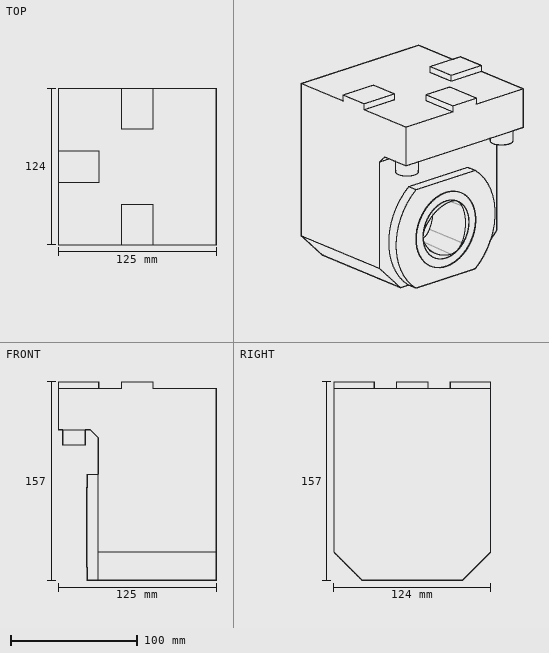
import cadquery as cq
import math

length = 125.0
width = 124.0
total_height = 157.0
key_height = 5.0
block_top = total_height - key_height
body_face_x = 31.5
head_bottom_z = 119.0
head_chamfer = 6.1
base_chamfer = 22.3

key_width = 25.1
key_length = 32.0

pin_diameter = 18.0
pin_length = 12.0
pin_x = 12.4
pin_spacing = 100.0

axis_z = 41.9
plate_diameter = 104.5
plate_thickness = 8.8
collar_diameter = 63.0
collar_height = 0.6
recess_diameter = 48.5
recess_depth = 0.3
socket_depth = 38.0
socket_radius = 22.5
socket_lobe = 1.7
socket_sectors = 6
sector_steps = 8
taper_per_length = 1 / 40

plate_face_x = body_face_x - plate_thickness
collar_face_x = plate_face_x - collar_height
overlap = 1.5


def make_block():
    """Side profile with an overhanging head and chamfered lower long edges."""
    block = (
        cq.Workplane("XZ")
        .moveTo(0, block_top)
        .lineTo(length, block_top)
        .lineTo(length, 0)
        .lineTo(body_face_x, 0)
        .lineTo(body_face_x, head_bottom_z - head_chamfer)
        .lineTo(body_face_x - head_chamfer, head_bottom_z)
        .lineTo(0, head_bottom_z)
        .close()
        .extrude(width / 2, both=True)
    )
    return block.faces("<Z").edges("|X").chamfer(base_chamfer)


def make_key(x, y, size_x, size_y):
    return (
        cq.Workplane("XY", origin=(x, y, block_top - overlap))
        .rect(size_x, size_y)
        .extrude(key_height + overlap)
    )


def make_pin(y):
    return (
        cq.Workplane("XY", origin=(pin_x, y, head_bottom_z - pin_length))
        .circle(pin_diameter / 2)
        .extrude(pin_length + overlap)
    )


def axis_plane(x):
    """Plane across the spindle axis: local x is +Y, local y is +Z, normal +X."""
    return cq.Workplane("YZ", origin=(x, 0, axis_z))


def make_plate():
    """Disc cut flat at the base and at the same distance above the axis."""
    disc = axis_plane(plate_face_x).circle(plate_diameter / 2).extrude(plate_thickness + overlap)
    flats = axis_plane(plate_face_x).rect(plate_diameter, 2 * axis_z).extrude(plate_thickness + overlap)
    return disc.intersect(flats)


def socket_point(radius, angle):
    """Point on the three-lobed polygon curve, with one lobe toward +Y."""
    y = radius * math.cos(angle) + socket_lobe * (2 * math.cos(2 * angle) - math.cos(4 * angle))
    z = radius * math.sin(angle) - socket_lobe * (2 * math.sin(2 * angle) + math.sin(4 * angle))
    return (y, z)


def socket_outline(depth):
    """Closed polygon curve at a depth below the collar face, alternating lobes and flanks."""
    radius = socket_radius - depth * taper_per_length
    sector = 2 * math.pi / socket_sectors
    edges = []
    for index in range(socket_sectors):
        start = (index - 0.5) * sector
        angles = [start + sector * step / sector_steps for step in range(sector_steps + 1)]
        points = [socket_point(radius, angle) for angle in angles]
        edges += axis_plane(collar_face_x + depth).spline(points).vals()
    return cq.Wire.assembleEdges(edges)


def make_socket():
    """Tapered polygon socket with ruled walls."""
    outlines = [socket_outline(0), socket_outline(socket_depth)]
    return cq.Workplane(cq.Solid.makeLoft(outlines, True))


result = make_block()
key_inset = (width - key_length) / 2
for side in (-1, 1):
    result = result.union(make_key(length / 2, side * key_inset, key_width, key_length))
    result = result.union(make_pin(side * pin_spacing / 2))
result = result.union(make_key(key_length / 2, 0, key_length, key_width))
result = result.union(make_plate())
result = result.union(axis_plane(collar_face_x).circle(collar_diameter / 2).extrude(collar_height + overlap))
result = result.cut(axis_plane(collar_face_x).circle(recess_diameter / 2).extrude(recess_depth))
result = result.cut(make_socket())